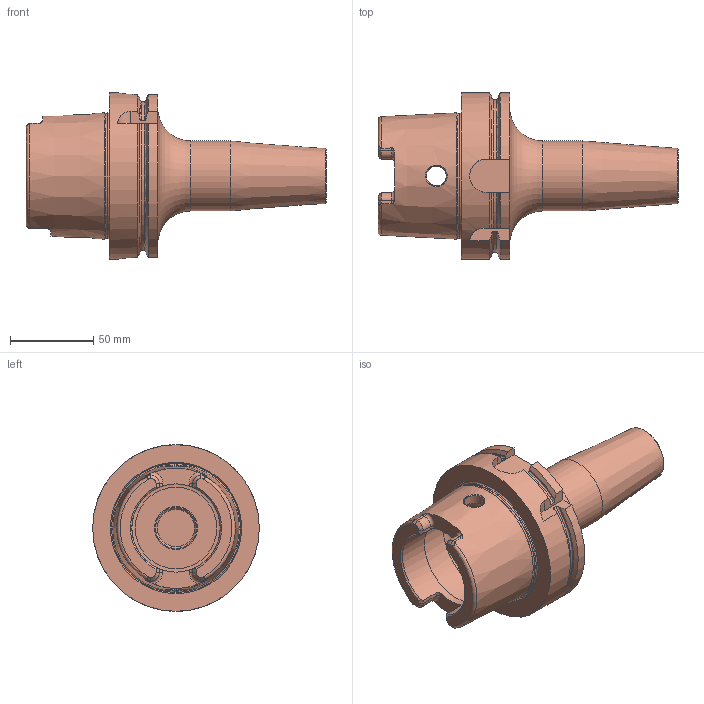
import cadquery as cq
import math


shank_length = 50.0
gauge_radius = 37.5
gauge_distance = 10.0
taper_slope = 1 / (2 * 9.98)
shank_end_round = 2.0
tooth_chamfer = 2.0
relief_start = -2.6
relief_end = -0.9
relief_depth = 0.4
land_radius = 37.8

flange_radius = 50.0
flange_width = 29.0
face_recess_radius = 39.4
face_recess_depth = 1.0
face_recess_floor_radius = 38.7

groove_center = 20.125
groove_mouth_half_width = 3.3
groove_half_width = 1.9
groove_flank_angle = 30.0
groove_floor_radius = 45.9
groove_corner_round = 1.0

neck_radius = 21.0
neck_fillet = 20.0
neck_end = 73.0
nose_end = 130.0
nose_angle = 4.5
nose_chamfer = 0.5

bore_radius = 26.5
bore_mouth_chamfer = 0.9
clamp_edge = -30.5
clamp_angle = 60.0
undercut_radius = 31.5
undercut_end = -10.0
bore_bottom_fillet = 7.0
counterbore_radius = 12.9
counterbore_depth = 0.5
thread_hole_radius = 11.2
thread_hole_mouth_radius = 12.3
thread_hole_depth = 20.0

drive_slot_width = 20.0
drive_slot_depth_top = 10.0
drive_slot_depth_bottom = 15.0
drive_slot_floor_round = 2.0
drive_slot_flare = 5.0
drive_slot_shoulder = 31.7

access_hole_radius = 6.0
access_hole_x = -15.0
access_hole_chamfer = 0.5

key_slot_width = 20.0
key_slot_start = 5.0
key_slot_floor = 44.0
notch_start = 5.0
notch_round = 8.0
notch_side = 31.5
notch_floor = 31.5


def taper_radius(x):
    return gauge_radius + taper_slope * (x + gauge_distance)


def revolve(outline):
    """Close the half outline and turn it fully about the X axis."""
    return outline.close().revolve(360, (0, 0, 0), (1, 0, 0))


def make_shank():
    """Solid taper with a rounded end, a relief groove and a fillet into the flange face recess."""
    tip = -shank_length
    round_end = tip + shank_end_round
    root_fillet = face_recess_floor_radius - land_radius
    outline = (
        cq.Workplane("XY")
        .moveTo(tip, 0)
        .lineTo(tip, taper_radius(round_end) - shank_end_round)
        .radiusArc((round_end, taper_radius(round_end)), shank_end_round)
        .lineTo(relief_start, taper_radius(relief_start))
        .lineTo(relief_start + relief_depth, taper_radius(relief_start) - relief_depth)
        .lineTo(relief_end, taper_radius(relief_start) - relief_depth)
        .lineTo(relief_end, land_radius)
        .lineTo(face_recess_depth - root_fillet, land_radius)
        .radiusArc((face_recess_depth, face_recess_floor_radius), -root_fillet)
        .lineTo(face_recess_depth, 0)
    )
    return revolve(outline)


def drive_slot_profile(x, growth=0.0):
    """Closed slot section at X: straight walls that flare out in arcs to flat shoulders.

    Growth moves the walls, flares and shoulders into the surrounding material.
    """
    half = drive_slot_width / 2 + growth
    flare = drive_slot_flare - growth
    shoulder = drive_slot_shoulder - growth
    flare_start = shoulder - flare
    reach = flange_radius
    return (
        cq.Workplane("YZ", origin=(x, 0, 0))
        .moveTo(-half, 0)
        .lineTo(half, 0)
        .lineTo(half, flare_start)
        .radiusArc((half + flare, shoulder), flare)
        .lineTo(reach, shoulder)
        .lineTo(reach, reach)
        .lineTo(-reach, reach)
        .lineTo(-reach, shoulder)
        .lineTo(-half - flare, shoulder)
        .radiusArc((-half, flare_start), flare)
        .close()
    )


def make_drive_slot(depth):
    """Slot open at the shank end, with a rounded floor edge and a chamfered mouth."""
    tip = -shank_length
    slot = drive_slot_profile(tip).extrude(depth)
    slot = slot.faces(">X").edges("not(<Z or >Z or <Y or >Y)").fillet(drive_slot_floor_round)
    mouth_start = drive_slot_profile(tip, tooth_chamfer).val()
    mouth_end = drive_slot_profile(tip + tooth_chamfer).val()
    mouth = cq.Solid.makeLoft([mouth_start, mouth_end], True)
    return slot.union(cq.Workplane(mouth))


def make_slotted_shank():
    top_slot = make_drive_slot(drive_slot_depth_top)
    bottom_slot = make_drive_slot(drive_slot_depth_bottom).rotate((0, 0, 0), (1, 0, 0), 180)
    return make_shank().cut(top_slot).cut(bottom_slot)


def drill_access_hole(shank):
    """Radial hole right through, with a chamfer where it leaves the taper."""
    hole = (
        cq.Workplane("XY", origin=(access_hole_x, 0, 0))
        .circle(access_hole_radius)
        .extrude(flange_radius, both=True)
    )
    reach = access_hole_radius / 2
    hole_region = cq.selectors.BoxSelector(
        (access_hole_x - reach, -reach, -flange_radius),
        (access_hole_x + reach, reach, flange_radius),
    )
    return shank.cut(hole).edges(hole_region).chamfer(access_hole_chamfer)


def make_body():
    """Flange with its gripper groove, concave neck and tapered nose."""
    flank_drop = (groove_mouth_half_width - groove_half_width) / math.tan(math.radians(groove_flank_angle))
    flank_foot = flange_radius - flank_drop
    groove_left = groove_center - groove_half_width
    groove_right = groove_center + groove_half_width
    corner_floor = groove_floor_radius + groove_corner_round
    neck_start = flange_width + neck_fillet
    fillet_mid = neck_fillet * math.sqrt(0.5)
    nose_radius = neck_radius - (nose_end - neck_end) * math.tan(math.radians(nose_angle))
    outline = (
        cq.Workplane("XY")
        .lineTo(face_recess_depth, 0)
        .lineTo(face_recess_depth, face_recess_floor_radius)
        .lineTo(0, face_recess_radius)
        .lineTo(0, flange_radius)
        .lineTo(groove_center - groove_mouth_half_width, flange_radius)
        .lineTo(groove_left, flank_foot)
        .lineTo(groove_left, corner_floor)
        .radiusArc((groove_left + groove_corner_round, groove_floor_radius), -groove_corner_round)
        .lineTo(groove_right - groove_corner_round, groove_floor_radius)
        .radiusArc((groove_right, corner_floor), -groove_corner_round)
        .lineTo(groove_right, flank_foot)
        .lineTo(groove_center + groove_mouth_half_width, flange_radius)
        .lineTo(flange_width, flange_radius)
        .lineTo(flange_width, neck_radius + neck_fillet)
        .threePointArc(
            (neck_start - fillet_mid, neck_radius + neck_fillet - fillet_mid),
            (neck_start, neck_radius),
        )
        .lineTo(neck_end, neck_radius)
        .lineTo(nose_end, nose_radius)
        .lineTo(nose_end, 0)
    )
    return revolve(outline).faces(">X").chamfer(nose_chamfer)


def make_bore():
    """Mouth chamfer, clamping bore, undercut, filleted bottom and blind coolant-tube hole."""
    mouth = -shank_length
    flare_length = (undercut_radius - bore_radius) / math.tan(math.radians(clamp_angle))
    bore_floor = undercut_end + bore_bottom_fillet
    hole_start = bore_floor + counterbore_depth
    hole_chamfer = thread_hole_mouth_radius - thread_hole_radius
    outline = (
        cq.Workplane("XY")
        .moveTo(mouth, 0)
        .lineTo(mouth, bore_radius + bore_mouth_chamfer)
        .lineTo(mouth + bore_mouth_chamfer, bore_radius)
        .lineTo(clamp_edge, bore_radius)
        .lineTo(clamp_edge + flare_length, undercut_radius)
        .lineTo(undercut_end, undercut_radius)
        .radiusArc((bore_floor, undercut_radius - bore_bottom_fillet), bore_bottom_fillet)
        .lineTo(bore_floor, counterbore_radius)
        .lineTo(hole_start, counterbore_radius)
        .lineTo(hole_start, thread_hole_mouth_radius)
        .lineTo(hole_start + hole_chamfer, thread_hole_radius)
        .lineTo(hole_start + thread_hole_depth, thread_hole_radius)
        .lineTo(hole_start + thread_hole_depth, 0)
    )
    return revolve(outline)


def make_key_slot(side):
    """Round-ended slot, open toward the nose, with a flat floor."""
    half = key_slot_width / 2
    return (
        cq.Workplane("XY", origin=(0, 0, side * key_slot_floor))
        .moveTo(flange_width, half)
        .lineTo(key_slot_start + half, half)
        .threePointArc((key_slot_start, 0), (key_slot_start + half, -half))
        .lineTo(flange_width, -half)
        .close()
        .extrude(side * flange_radius)
    )


def make_corner_notch():
    """Notch in the -Y, +Z quarter of the rim, open toward the nose."""
    round_center_x = notch_start + notch_round
    round_center_y = -notch_side - notch_round
    return (
        cq.Workplane("XY", origin=(0, 0, notch_floor))
        .moveTo(flange_width, -notch_side)
        .lineTo(round_center_x, -notch_side)
        .radiusArc((notch_start, round_center_y), -notch_round)
        .lineTo(notch_start, -flange_radius)
        .lineTo(flange_width, -flange_radius)
        .close()
        .extrude(flange_radius)
    )


result = (
    make_body()
    .union(drill_access_hole(make_slotted_shank()))
    .cut(make_bore())
    .cut(make_key_slot(1))
    .cut(make_key_slot(-1))
    .cut(make_corner_notch())
)